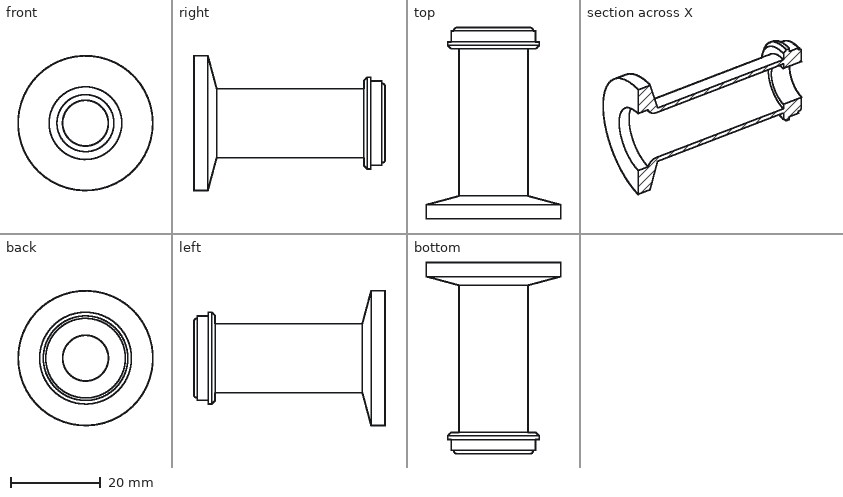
import cadquery as cq
import math

total_length = 42.6
rim_length = 3.15
cone_end = 5.1
collar_start = 37.8
chamfer = 0.75
collar_width = 1.58
end_round = 0.75

flange_radius = 30.0 / 2
tube_radius = 7.7
collar_radius = 10.2
cap_radius = 9.4
nose_radius = 8.85

mouth_radius = 8.1
mouth_depth = 2.55
bore_radius = 6.35
throat_round = 2.4
lip_radius = 5.05
lip_start = collar_start

throat_center_radius = bore_radius + throat_round
throat_length = math.sqrt(throat_round**2 - (throat_center_radius - mouth_radius) ** 2)
throat_end = mouth_depth + throat_length
mouth_edge_angle = math.asin(throat_length / throat_round)
throat_mid_radius = throat_center_radius - throat_round * math.cos(mouth_edge_angle / 2)
throat_mid_y = throat_end - throat_round * math.sin(mouth_edge_angle / 2)

nose_start = total_length - end_round
round_mid_offset = end_round * math.sin(math.pi / 4)


def revolve_about_y(profile):
    return profile.close().revolve(360, (0, 0, 0), (0, 1, 0))


def make_body():
    profile = (
        cq.Workplane("XY")
        .lineTo(flange_radius, 0)
        .lineTo(flange_radius, rim_length)
        .lineTo(tube_radius, cone_end)
        .lineTo(tube_radius, collar_start)
        .lineTo(collar_radius - chamfer, collar_start)
        .lineTo(collar_radius, collar_start + chamfer)
        .lineTo(collar_radius, collar_start + collar_width)
        .lineTo(cap_radius, collar_start + collar_width)
        .lineTo(cap_radius, nose_start)
        .lineTo(nose_radius, nose_start)
        .threePointArc(
            (nose_radius - end_round + round_mid_offset, nose_start + round_mid_offset),
            (nose_radius - end_round, total_length),
        )
        .lineTo(0, total_length)
    )
    return revolve_about_y(profile)


def make_bore():
    profile = (
        cq.Workplane("XY")
        .lineTo(mouth_radius, 0)
        .lineTo(mouth_radius, mouth_depth)
        .threePointArc((throat_mid_radius, throat_mid_y), (bore_radius, throat_end))
        .lineTo(bore_radius, lip_start)
        .lineTo(lip_radius, lip_start)
        .lineTo(lip_radius, total_length)
        .lineTo(0, total_length)
    )
    return revolve_about_y(profile)


result = make_body().cut(make_bore())